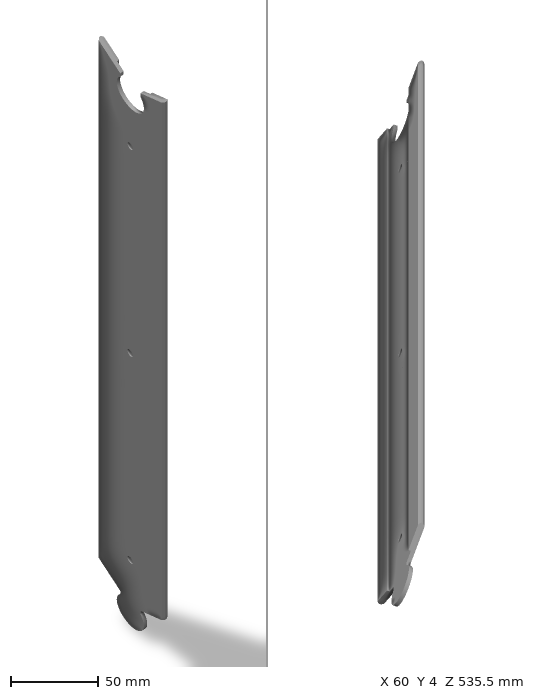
import cadquery as cq
import math

width = 60.0
total_length = 535.5
thickness = 4.0

web_thickness = 2.5
edge_chamfer = 1.35
hem_width = 15.0

bulb_radius = 12.5
neck_half_width = 9.0
tongue_drop = 36.0
body_length = total_length - tongue_drop
shoulder_angle = math.radians(30.0)

hole_diameter = 5.5
hole_pitch = 200.0
hole_count = 3
lowest_hole_height = 27.5

half_width = width / 2
neck_drop = (half_width - neck_half_width) * math.tan(shoulder_angle)
bulb_center_drop = tongue_drop - bulb_radius
bulb_neck_rise = math.sqrt(bulb_radius**2 - neck_half_width**2)
bulb_neck_drop = bulb_center_drop - bulb_neck_rise


def trace_joint(sketch, edge_height, side):
    """Trace one joint edge across the width, starting from the given side (-1 left, +1 right)."""
    return (
        sketch.lineTo(side * neck_half_width, edge_height - neck_drop)
        .lineTo(side * neck_half_width, edge_height - bulb_neck_drop)
        .threePointArc(
            (0, edge_height - tongue_drop),
            (-side * neck_half_width, edge_height - bulb_neck_drop),
        )
        .lineTo(-side * neck_half_width, edge_height - neck_drop)
        .lineTo(-side * half_width, edge_height)
    )


def face_outline():
    """Outline in XZ, with the tongue below and the slot above, through the full thickness."""
    bottom = tongue_drop
    top = bottom + body_length
    sketch = cq.Workplane("XZ").moveTo(-half_width, bottom)
    sketch = trace_joint(sketch, bottom, -1)
    sketch = sketch.lineTo(half_width, top)
    sketch = trace_joint(sketch, top, 1)
    return sketch.close().extrude(-thickness)


def hemmed_strip():
    """Constant section in XY: front web and two back hems, with the outer long edges chamfered."""
    block = cq.Workplane("XY").box(width, thickness, total_length, centered=(True, False, False))
    strip = block.edges("|Z").chamfer(edge_chamfer)
    recess_width = width - 2 * hem_width
    recess_depth = thickness - web_thickness
    recess = (
        cq.Workplane("XY", origin=(0, web_thickness, 0))
        .box(recess_width, recess_depth, total_length, centered=(True, False, False))
    )
    return strip.cut(recess)


def hole_pins():
    """Cylinders along Y that cut the row of holes."""
    first = tongue_drop + lowest_hole_height
    centers = [(0, first + i * hole_pitch) for i in range(hole_count)]
    return cq.Workplane("XZ").pushPoints(centers).circle(hole_diameter / 2).extrude(-thickness)


result = hemmed_strip().intersect(face_outline()).cut(hole_pins())